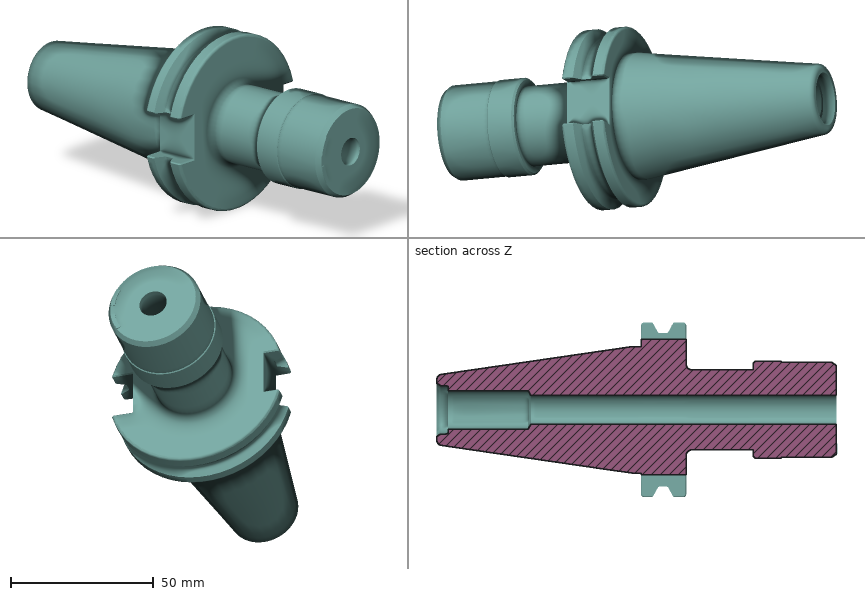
import cadquery as cq
import math


TAPER_TIP_DIA = 24.5
TAPER_LARGE_DIA = 44.5
TAPER_LENGTH = 68.5
TIP_FILLET = 2.0

FLANGE_START = 71.5
FLANGE_END = 87.4
FLANGE_DIA = 63.4
FLANGE_FILLET = 1.0
GROOVE_CENTRE = 79.2
GROOVE_FLOOR_DIA = 56.1
GROOVE_FLOOR_WIDTH = 3.2
GROOVE_FILLET = 0.5
GROOVE_WALL_ANGLE = 30.0

SLOT_WIDTH = 16.1
SLOT_CHAMFER = 0.4
SLOT_FLOORS = (-22.7, 24.8)

NECK_DIA = 28.2
NECK_FILLET = 2.0
COLLAR_START = 110.8
COLLAR_END = 120.8
COLLAR_DIA = 34.2
COLLAR_CHAMFER = 0.7
COLLAR_END_CHAMFER = 0.3
NUT_DIA = 33.5
NUT_BEVEL_LENGTH = 1.8
NUT_FACE_DIA = 31.1
TOTAL_LENGTH = 140.2

MARK_HEIGHT = 0.3
MARK_INNER_RADIUS = 14.0
MARK_OUTER_RADIUS = NUT_FACE_DIA / 2
MARK_START_ANGLE = 7.0
MARK_END_ANGLE = 32.5
NUT_FACE = TOTAL_LENGTH - MARK_HEIGHT

BORE_DIA = 10.0
THREAD_DIA = 13.3
THREAD_END = 32.0
DRILL_POINT_ANGLE = 120.0
COUNTERBORE_DIA = 16.8
COUNTERBORE_DEPTH = 4.0
COUNTERBORE_FLOOR_DIA = 16.3
COUNTERBORE_TAPER_START = 3.1
MOUTH_DIA = 18.5
MOUTH_DEPTH = 1.4


def cylinder(start, end, diameter):
    """Cylinder on the X axis between two stations."""
    return cq.Workplane("YZ").workplane(offset=start).circle(diameter / 2).extrude(end - start)


def revolve_profile(points):
    """Solid turned about X from a closed (station, radius) outline."""
    return cq.Workplane("XY").polyline(points).close().revolve(360, (0, 0, 0), (1, 0, 0))


def make_shank():
    """Tapered shank ending in a short cylinder at the flange, rounded at its tip."""
    tip = TAPER_TIP_DIA / 2
    large = TAPER_LARGE_DIA / 2
    shank = revolve_profile([
        (0, 0),
        (0, tip),
        (TAPER_LENGTH, large),
        (FLANGE_START, large),
        (FLANGE_START, 0),
    ])
    return shank.faces("<X").edges().fillet(TIP_FILLET)


def make_groove():
    """V-shaped ring with rounded corners along its floor."""
    floor = GROOVE_FLOOR_DIA / 2
    rim = FLANGE_DIA / 2
    half_floor = GROOVE_FLOOR_WIDTH / 2
    half_rim = half_floor + (rim - floor) * math.tan(math.radians(GROOVE_WALL_ANGLE))
    ring = revolve_profile([
        (GROOVE_CENTRE - half_rim, rim),
        (GROOVE_CENTRE - half_floor, floor),
        (GROOVE_CENTRE + half_floor, floor),
        (GROOVE_CENTRE + half_rim, rim),
    ])
    floor_corners = [edge for edge in ring.edges("%CIRCLE").vals() if math.isclose(edge.radius(), floor)]
    return ring.newObject(floor_corners).fillet(GROOVE_FILLET)


def make_flange():
    """Rounded disc with two drive slots and the gripper groove."""
    width = FLANGE_END - FLANGE_START
    flange = cylinder(FLANGE_START, FLANGE_END, FLANGE_DIA).edges().fillet(FLANGE_FILLET)
    for floor in SLOT_FLOORS:
        slot = cq.Workplane("XY").box(width, FLANGE_DIA, SLOT_WIDTH, centered=(False, True, True))
        flange = flange.cut(slot.translate((FLANGE_START, floor + math.copysign(FLANGE_DIA / 2, floor), 0)))
    floor_edges = flange.faces("|Y").edges("|X").vals()
    wall_edges = [
        edge for edge in flange.faces("|Z").edges().vals()
        if not any(edge.isSame(other) for other in floor_edges)
    ]
    flange = flange.newObject(wall_edges).chamfer(SLOT_CHAMFER)
    return flange.cut(make_groove())


def make_neck():
    """Neck with a concave fillet into the flange face."""
    radius = NECK_DIA / 2
    fillet_mid = NECK_FILLET * (1 - math.sqrt(0.5))
    return (
        cq.Workplane("XY")
        .moveTo(FLANGE_END, 0)
        .lineTo(FLANGE_END, radius + NECK_FILLET)
        .threePointArc((FLANGE_END + fillet_mid, radius + fillet_mid), (FLANGE_END + NECK_FILLET, radius))
        .lineTo(COLLAR_START, radius)
        .lineTo(COLLAR_START, 0)
        .close()
        .revolve(360, (0, 0, 0), (1, 0, 0))
    )


def make_collar():
    """Collar between the neck and the nut, chamfered at both ends."""
    collar = cylinder(COLLAR_START, COLLAR_END, COLLAR_DIA)
    collar = collar.faces("<X").edges().chamfer(COLLAR_CHAMFER)
    return collar.faces(">X").edges().chamfer(COLLAR_END_CHAMFER)


def make_nut():
    """Clamping nut with a bevel running out to its end face."""
    body = NUT_DIA / 2
    face = NUT_FACE_DIA / 2
    return revolve_profile([
        (COLLAR_END, 0),
        (COLLAR_END, body),
        (NUT_FACE - NUT_BEVEL_LENGTH, body),
        (NUT_FACE, face),
        (NUT_FACE, 0),
    ])


def make_mark(side):
    """Raised arc beside the -Y direction, on the +Z or -Z side."""
    def at(radius, angle):
        turn = math.radians(angle)
        return (-radius * math.cos(turn), side * radius * math.sin(turn))

    middle = (MARK_START_ANGLE + MARK_END_ANGLE) / 2
    return (
        cq.Workplane("YZ")
        .workplane(offset=NUT_FACE)
        .moveTo(*at(MARK_INNER_RADIUS, MARK_START_ANGLE))
        .threePointArc(at(MARK_INNER_RADIUS, middle), at(MARK_INNER_RADIUS, MARK_END_ANGLE))
        .lineTo(*at(MARK_OUTER_RADIUS, MARK_END_ANGLE))
        .threePointArc(at(MARK_OUTER_RADIUS, middle), at(MARK_OUTER_RADIUS, MARK_START_ANGLE))
        .close()
        .extrude(MARK_HEIGHT)
    )


def make_bore():
    """Through bore, opened in steps towards the taper tip."""
    mouth = MOUTH_DIA / 2
    counterbore = COUNTERBORE_DIA / 2
    thread = THREAD_DIA / 2
    bore = BORE_DIA / 2
    point_length = (thread - bore) / math.tan(math.radians(DRILL_POINT_ANGLE / 2))
    return revolve_profile([
        (0, 0),
        (0, mouth),
        (MOUTH_DEPTH, counterbore),
        (COUNTERBORE_TAPER_START, counterbore),
        (COUNTERBORE_DEPTH, COUNTERBORE_FLOOR_DIA / 2),
        (COUNTERBORE_DEPTH, thread),
        (THREAD_END, thread),
        (THREAD_END + point_length, bore),
        (TOTAL_LENGTH, bore),
        (TOTAL_LENGTH, 0),
    ])


holder = make_shank()
for section in (make_flange(), make_neck(), make_collar(), make_nut(), make_mark(1), make_mark(-1)):
    holder = holder.union(section)
result = holder.cut(make_bore())